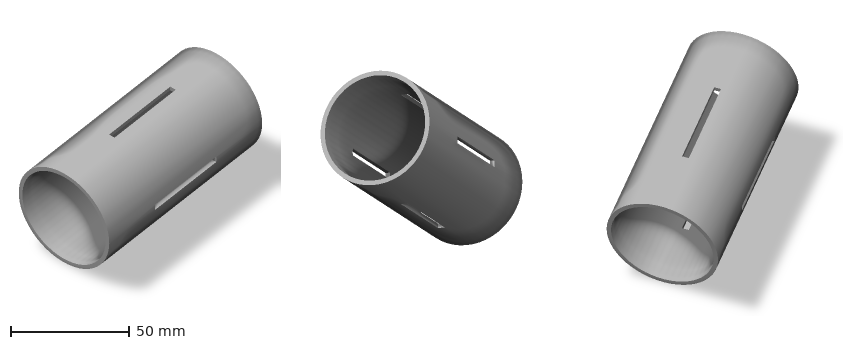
import cadquery as cq

outer_diameter = 50.0
wall_thickness = 2.0
tube_length = 100.0
inner_diameter = outer_diameter - 2 * wall_thickness

slot_length = 40.0
slot_width = 3.0
vertical_slot_offset = 1.25

cutter_depth = outer_diameter + 2 * wall_thickness


def make_tube():
    """Plain tube along the Y axis."""
    return (
        cq.Workplane("XZ")
        .circle(outer_diameter / 2)
        .circle(inner_diameter / 2)
        .extrude(tube_length / 2, both=True)
    )


def vertical_slot_cutter():
    """Cuts matching slots through the top and bottom of the wall."""
    cutter = cq.Workplane("XY").box(slot_width, slot_length, cutter_depth)
    return cutter.translate((0, vertical_slot_offset, 0))


def side_slot_cutter():
    """Cuts matching slots through the -X and +X sides of the wall."""
    return cq.Workplane("XY").box(cutter_depth, slot_length, slot_width)


result = make_tube().cut(vertical_slot_cutter()).cut(side_slot_cutter())